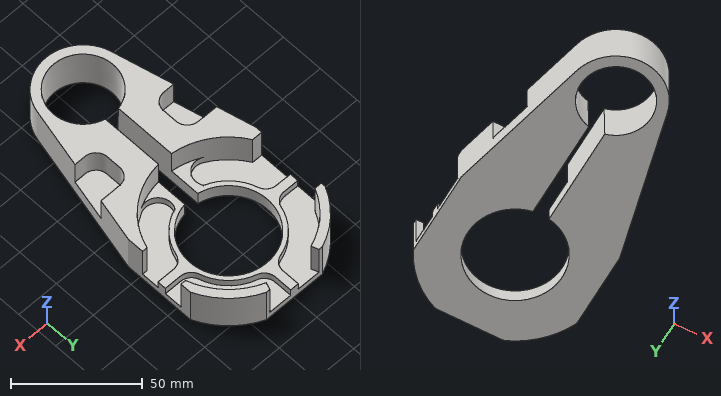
import cadquery as cq
import math

height = 19.0
left_side = -34.8
right_side = 35.5
back_side = 35.8
tip_y = -99.2

big_radius = 38.7
tip_radius = 20.2
tip_center_y = tip_y + tip_radius

bore_radius = 20.5
tip_bore_top_radius = 15.9
tip_bore_bottom_radius = 15.4
slit_width = 6.9

recess_radius = 34.7
rib_top = 7.0
pocket_floor = 3.4
ring_radius = 22.7
rib_width = 4.0
rib_fillet = 6.0
pocket_end_radius = 6.6
pocket_end_angle = 28.3

left_gap_front = -17.5
left_gap_back = 14.7
right_gap_half_width = 10.4
back_gap_half_angle = 20.0

notch_front = -56.5
notch_back = -38.0
notch_inner_x = 15.0
notch_fillet = 6.0


def box(x_min, x_max, y_min, y_max, z_min, z_max):
    """Box given by its limits."""
    size = (x_max - x_min, y_max - y_min, z_max - z_min)
    return cq.Workplane("XY").box(*size, centered=False).translate((x_min, y_min, z_min))


def disk(radius, z_min, z_max, x=0, y=0):
    """Upright cylinder between two heights."""
    return cq.Workplane("XY").center(x, y).circle(radius).extrude(z_max - z_min).translate((0, 0, z_min))


def make_body():
    """Tangent outline of the two end circles, trimmed flat on three sides."""
    taper = math.asin((big_radius - tip_radius) / -tip_center_y)
    big_x = big_radius * math.cos(taper)
    big_y = -big_radius * math.sin(taper)
    tip_x = tip_radius * math.cos(taper)
    tangent_y = tip_center_y - tip_radius * math.sin(taper)
    outline = (
        cq.Workplane("XY")
        .moveTo(-big_x, big_y)
        .threePointArc((0, big_radius), (big_x, big_y))
        .lineTo(tip_x, tangent_y)
        .threePointArc((0, tip_y), (-tip_x, tangent_y))
        .close()
        .extrude(height)
    )
    return outline.intersect(box(left_side, right_side, tip_y, back_side, 0, height))


def make_wall_gaps():
    """Left, right and back openings, down to the pocket floor."""
    left = box(left_side, 0, left_gap_front, left_gap_back, pocket_floor, height)
    right = box(0, right_side, -right_gap_half_width, right_gap_half_width, pocket_floor, height)
    back_half_width = big_radius * math.tan(math.radians(back_gap_half_angle))
    back = (
        cq.Workplane("XY")
        .polyline([(0, 0), (back_half_width, big_radius), (-back_half_width, big_radius)])
        .close()
        .extrude(height - pocket_floor)
        .translate((0, 0, pocket_floor))
    )
    return left.union(right).union(back)


def make_front_land(side):
    """Raised floor beside the slit, bounded by the round end of the front pocket."""
    angle = math.radians(pocket_end_angle)
    end_distance = recess_radius - pocket_end_radius
    end_x = side * end_distance * math.sin(angle)
    end_y = -end_distance * math.cos(angle)
    reach_x = side * big_radius * math.tan(angle)
    land = (
        cq.Workplane("XY")
        .polyline([(0, 0), (reach_x, -big_radius), (0, -big_radius)])
        .close()
        .extrude(rib_top)
    )
    return land.cut(disk(pocket_end_radius, 0, rib_top, end_x, end_y))


def make_rib_fillet(start_angle, mirrored):
    """Concave corner between one side of a rib and the ring."""
    offset = rib_width / 2 + rib_fillet
    center_distance = ring_radius + rib_fillet
    along = math.sqrt(center_distance**2 - offset**2)
    ring_scale = ring_radius / center_distance
    corner = (
        cq.Workplane("XY")
        .polyline([(0, 0), (along, 0), (along, offset), (along * ring_scale, offset * ring_scale)])
        .close()
        .extrude(rib_top)
        .cut(disk(rib_fillet, 0, rib_top, along, offset))
    )
    if mirrored:
        corner = corner.mirror("XZ")
    return corner.rotate((0, 0, 0), (0, 0, 1), start_angle)


def make_ribs():
    """Ring around the bore, three ribs with filleted roots, and the front lands."""
    ribs = disk(ring_radius, 0, rib_top)
    rib = box(0, big_radius, -rib_width / 2, rib_width / 2, 0, rib_top)
    for angle in (0, 90, 180):
        ribs = ribs.union(rib.rotate((0, 0, 0), (0, 0, 1), angle))
        for mirrored in (False, True):
            ribs = ribs.union(make_rib_fillet(angle, mirrored))
    for side in (-1, 1):
        ribs = ribs.union(make_front_land(side))
    return ribs


def make_tip_bore():
    """Conical bore, wider at the top face."""
    return (
        cq.Workplane("XZ")
        .moveTo(0, 0)
        .lineTo(tip_bore_bottom_radius, 0)
        .lineTo(tip_bore_top_radius, height)
        .lineTo(0, height)
        .close()
        .revolve(360, (0, 0, 0), (0, 1, 0))
        .translate((0, tip_center_y, 0))
    )


def make_notch():
    """Right-hand side notch with rounded inner corners."""
    notch = box(notch_inner_x, big_radius, notch_front, notch_back, rib_top, height)
    return notch.edges("|Z and <X").fillet(notch_fillet)


recess = disk(recess_radius, pocket_floor, height).union(make_wall_gaps()).cut(make_ribs())
notch = make_notch()

result = make_body().cut(recess)
result = result.cut(disk(bore_radius, 0, height))
result = result.cut(make_tip_bore())
result = result.cut(box(-slit_width / 2, slit_width / 2, tip_center_y, 0, 0, height))
result = result.cut(notch).cut(notch.mirror("YZ"))